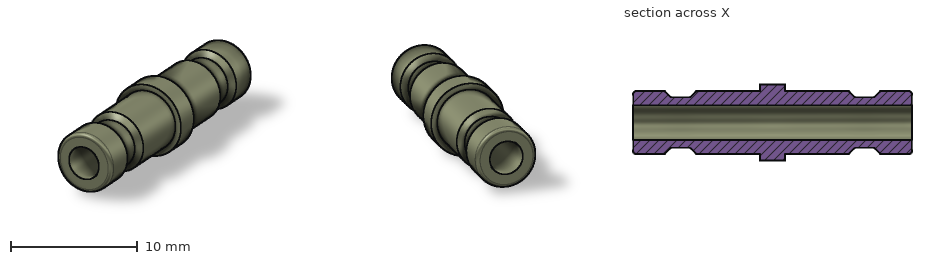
import cadquery as cq

length = 22.0
flange_diameter = 6.0
flange_width = 2.0
body_diameter = 5.0
neck_diameter = 4.0
neck_width = 1.5
head_length = 2.5
bore_diameter = 2.73
end_rounding = 0.3

half_length = length / 2
body_radius = body_diameter / 2
neck_radius = neck_diameter / 2
neck_taper = body_radius - neck_radius


def neck_cutter():
    """Ring with sloping walls that forms the groove near the +Y end."""
    head_edge = half_length - head_length
    neck_outer = head_edge - neck_taper
    neck_inner = neck_outer - neck_width
    body_edge = neck_inner - neck_taper
    return (
        cq.Workplane("XY")
        .moveTo(body_radius, head_edge)
        .lineTo(neck_radius, neck_outer)
        .lineTo(neck_radius, neck_inner)
        .lineTo(body_radius, body_edge)
        .close()
        .revolve(360, (0, 0, 0), (0, 1, 0))
    )


def cylinder(diameter, width):
    """Cylinder along Y, centred on the origin."""
    return cq.Workplane("XZ", origin=(0, width / 2, 0)).circle(diameter / 2).extrude(width)


body = cylinder(body_diameter, length).edges().fillet(end_rounding)

groove = neck_cutter()
body = body.cut(groove).cut(groove.mirror("XZ"))

flange = cylinder(flange_diameter, flange_width)
result = body.union(flange).cut(cylinder(bore_diameter, length))